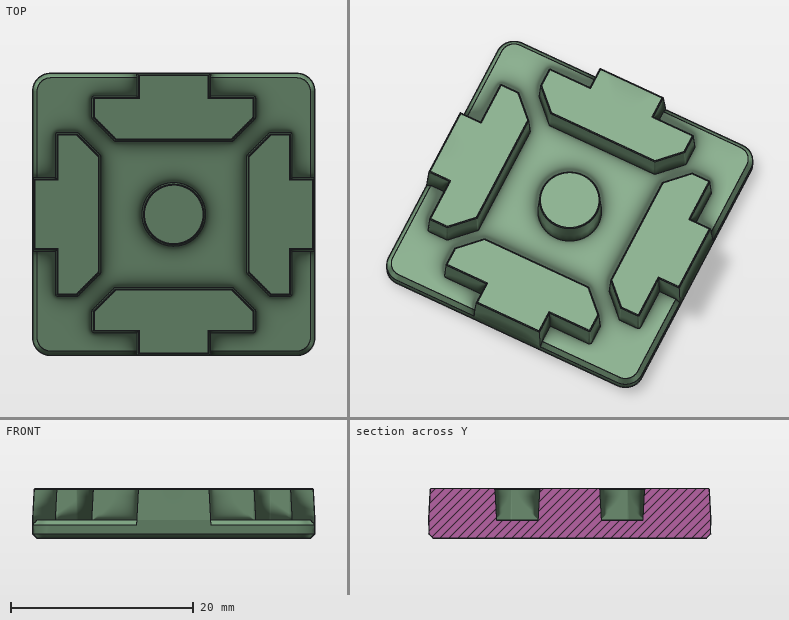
import cadquery as cq
import math

plate_side = 31.0
plate_thickness = 2.0
plate_corner_radius = 2.0
plate_chamfer = 0.5

total_height = 5.5
draft_angle = 3.0
top_edge_chamfer = 0.1
raised_height = total_height - plate_thickness
draft_run = raised_height * math.tan(math.radians(draft_angle))
pad_root_depth = plate_chamfer

pad_inner_y = 8.0
pad_shoulder_y = 13.0
pad_half_length = 9.0
tab_half_width = 4.05
pad_corner_cut = 2.37
pad_corner_radius = 0.3
pad_count = 4
tab_trim_allowance = 1.0

boss_radius = 3.5


def make_plate():
    """Rounded square plate, chamfered around its top and bottom faces."""
    plate = cq.Workplane("XY").rect(plate_side, plate_side).extrude(plate_thickness)
    plate = plate.edges("|Z").fillet(plate_corner_radius)
    return plate.faces("<Z or >Z").chamfer(plate_chamfer)


def make_envelope():
    """Square block, flush with the plate's sides up to its top face and leaning inwards above."""
    block = cq.Workplane("XY").rect(plate_side, plate_side).extrude(plate_thickness)
    upper_face = block.faces(">Z").workplane().rect(plate_side, plate_side)
    return upper_face.extrude(raised_height, taper=draft_angle)


def make_pad():
    """T-shaped pad on the +Y side, its outward corners rounded wider towards the plate."""
    length = pad_half_length - pad_corner_radius
    inner_y = pad_inner_y + pad_corner_radius
    shoulder_y = pad_shoulder_y - pad_corner_radius
    tab_width = tab_half_width - pad_corner_radius
    beyond_plate_y = plate_side / 2 + tab_trim_allowance
    half_outline = [
        (length - pad_corner_cut, inner_y),
        (length, inner_y + pad_corner_cut),
        (length, shoulder_y),
        (tab_width, shoulder_y),
        (tab_width, beyond_plate_y),
    ]
    mirrored_outline = [(-x, y) for x, y in reversed(half_outline)]
    pad = (
        cq.Workplane("XY", origin=(0, 0, total_height))
        .polyline(half_outline + mirrored_outline)
        .close()
        .offset2D(pad_corner_radius - draft_run)
        .extrude(-(raised_height + pad_root_depth), taper=-draft_angle)
    )
    return pad.intersect(make_envelope()).faces(">Z").chamfer(top_edge_chamfer)


def make_boss():
    """Tapered round boss at the centre of the plate, revolved from half of its section."""
    top_radius = boss_radius - draft_run
    half_section = [
        (0, plate_thickness),
        (boss_radius, plate_thickness),
        (top_radius, total_height - top_edge_chamfer),
        (top_radius - top_edge_chamfer, total_height),
        (0, total_height),
    ]
    return cq.Workplane("XZ").polyline(half_section).close().revolve(360, (0, 0), (0, 1))


result = make_plate().union(make_boss())
pad = make_pad()
for index in range(pad_count):
    turn = index * 360 / pad_count
    result = result.union(pad.rotate((0, 0, 0), (0, 0, 1), turn))